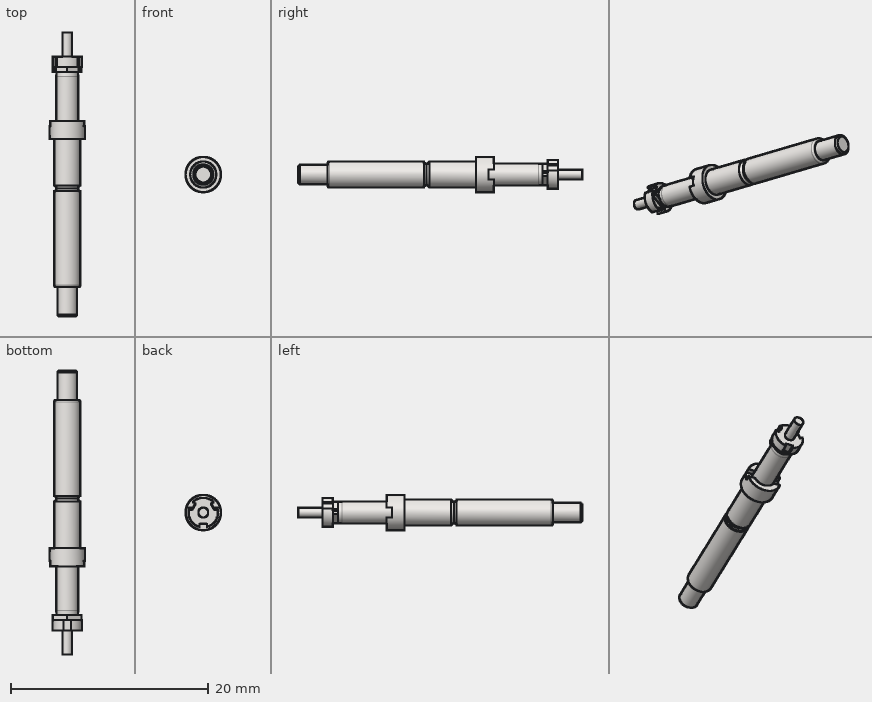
import cadquery as cq


length = 28.8
pin_end = length / 2
ring_back = 11.95
ring_front = 10.9
cam_front = 10.37
taper_front = 9.95
collar_back = 5.45
collar_front = 3.6
groove_back = -1.1
groove_bottom = -1.4
groove_front = -1.67
barrel_end = -11.4
plunger_end = -length / 2

pin_radius = 1.0 / 2
ring_radius = 1.5
cam_radius = 1.47
neck_radius = 1.12
taper_radius = 1.1
collar_radius = 3.6 / 2
barrel_radius = 1.32
groove_radius = 1.1
groove_step_radius = 1.2
plunger_radius = 1.0

barrel_round = 0.2
plunger_chamfer = 0.2

ring_slot_angles = (30, 150, 270)
ring_slot_width = 0.78
ring_slot_floor = 1.15

cam_half_width = 1.67

collar_slot_width = 0.98
collar_slot_depth = 0.55


def cylinder(radius, y_start, y_end):
    """Solid cylinder on the Y axis."""
    return cq.Workplane("XZ", origin=(0, y_start, 0)).circle(radius).extrude(y_start - y_end)


def probe_body():
    """Plunger, barrel, collar, neck and pin as one turned profile."""
    groove_depth = barrel_radius - groove_radius
    groove_length = groove_back - groove_bottom
    groove_arc_radius = (groove_length**2 + groove_depth**2) / (2 * groove_depth)
    return (
        cq.Workplane("XY")
        .moveTo(0, plunger_end)
        .lineTo(plunger_radius - plunger_chamfer, plunger_end)
        .lineTo(plunger_radius, plunger_end + plunger_chamfer)
        .lineTo(plunger_radius, barrel_end)
        .lineTo(barrel_radius - barrel_round, barrel_end)
        .radiusArc((barrel_radius, barrel_end + barrel_round), -barrel_round)
        .lineTo(barrel_radius, groove_front)
        .lineTo(groove_step_radius, groove_front)
        .lineTo(groove_radius, groove_bottom)
        .radiusArc((barrel_radius, groove_back), groove_arc_radius)
        .lineTo(barrel_radius, collar_front)
        .lineTo(collar_radius, collar_front)
        .lineTo(collar_radius, collar_back)
        .lineTo(neck_radius, collar_back)
        .lineTo(neck_radius, taper_front)
        .lineTo(taper_radius, cam_front)
        .lineTo(pin_radius, cam_front)
        .lineTo(pin_radius, pin_end)
        .lineTo(0, pin_end)
        .close()
        .revolve(360, (0, 0, 0), (0, 1, 0))
    )


def cam():
    """Diamond section with its two side points rounded off by a cylinder."""
    corners = [(cam_half_width, 0), (0, taper_radius), (-cam_half_width, 0), (0, -taper_radius)]
    diamond = (
        cq.Workplane("XZ", origin=(0, cam_front, 0))
        .polyline(corners)
        .close()
        .extrude(cam_front - ring_front)
    )
    return diamond.intersect(cylinder(cam_radius, cam_front, ring_front))


def ring_slot(angle):
    """Flat-bottomed slot through the ring and cam, opening outward at the given angle from +X."""
    slot = cq.Workplane("XY").box(
        ring_radius, ring_back - cam_front, ring_slot_width, centered=(False, False, True)
    )
    slot = slot.translate((ring_slot_floor, cam_front, 0))
    return slot.rotate((0, 0, 0), (0, 1, 0), -angle)


def collar_slots():
    """Slots on the +X and -X sides of the collar, reaching in to the neck."""
    bar = cq.Workplane("XY").box(
        2 * collar_radius, collar_slot_depth, collar_slot_width, centered=(True, False, True)
    )
    bar = bar.translate((0, collar_back - collar_slot_depth, 0))
    return bar.cut(cylinder(neck_radius, collar_front, collar_back))


bayonet = cylinder(ring_radius, ring_front, ring_back).union(cam())
for slot_angle in ring_slot_angles:
    bayonet = bayonet.cut(ring_slot(slot_angle))

result = probe_body().cut(collar_slots()).union(bayonet)